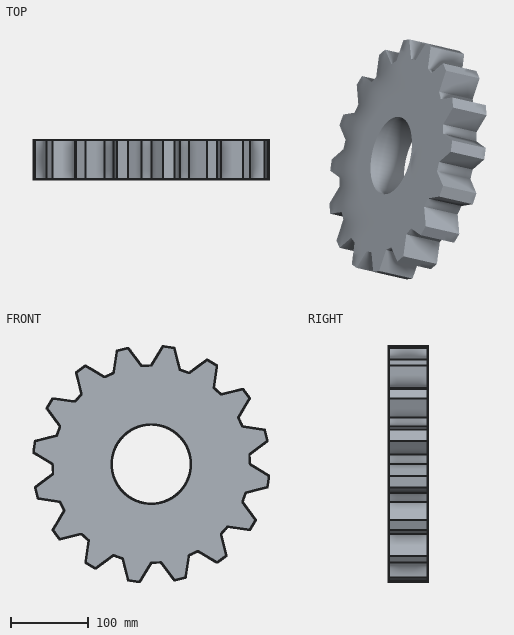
import cadquery as cq
import math

overall_span = 303.3
tooth_count = 16
thickness = 50.7

step_angle = 2 * math.pi / (4 * tooth_count)

tip_radius = overall_span / 2 / math.cos(step_angle)
root_radius = tip_radius * 5 / 6
bore_radius = tip_radius / 3


def polar_point(radius, step):
    """Point in the gear plane, the given number of angular steps from +X."""
    angle = step * step_angle
    return (radius * math.cos(angle), radius * math.sin(angle))


def gear_outline():
    """Corners of all teeth, with a root flat starting on the +X axis."""
    corner_radii = (root_radius, root_radius, tip_radius, tip_radius)
    return [
        polar_point(radius, 4 * tooth + corner)
        for tooth in range(tooth_count)
        for corner, radius in enumerate(corner_radii)
    ]


result = (
    cq.Workplane("XZ")
    .polyline(gear_outline())
    .close()
    .circle(bore_radius)
    .extrude(thickness / 2, both=True)
)